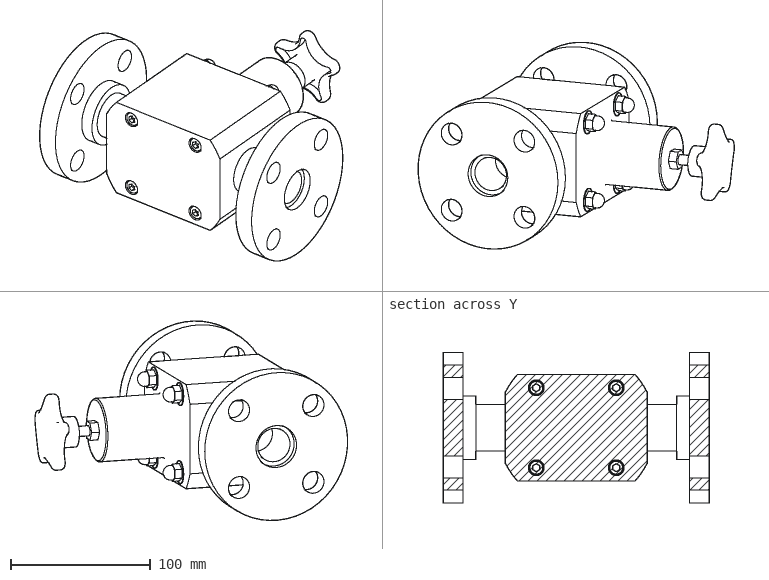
import cadquery as cq
import math


FACE_TO_FACE = 190.5
FLANGE_DIA = 107.95
FLANGE_THICKNESS = 14.3
FLANGE_HOLE_DIA = 15.88
FLANGE_BOLT_CIRCLE_DIA = 79.375
COLLAR_DIA = 45.72
COLLAR_LENGTH = 9.2
PIPE_DIA = 33.4
SOCKET_DIA = 30.61
SOCKET_DEPTH = 5.3
BORE_DIA = 24.31

BODY_WIDTH = 101.6
BODY_HEIGHT = 76.2
BODY_FRONT_Y = -33.0
BODY_BACK_Y = 50.1
BODY_CORNER_DIA = 113.6

BOLT_SPACING = 57.15
COUNTERBORE_DIA = 11.0
COUNTERBORE_DEPTH = 6.5
HEAD_DIA = 9.53
HEAD_TOP_DIA = 8.2
HEAD_RECESS = 0.3
KEY_ACROSS_FLATS = 4.76
KEY_DEPTH = 3.0
KEY_CONE_DEPTH = 1.3
WASHER_DIA = 16.6
WASHER_THICKNESS = 0.5
NUT_ACROSS_FLATS = 11.11
NUT_THICKNESS = 5.3
CAP_DIA = 10.6
CAP_STRAIGHT_LENGTH = 1.4

HOUSING_DIA = 45.72
HOUSING_END_Y = 103.65
HOUSING_CHAMFER = 1.0
HOUSING_FOOT_RADIUS = 5.5
STEM_DIA = 7.44
STEM_NUT_ACROSS_FLATS = 12.7
STEM_NUT_THICKNESS = 6.05

WHEEL_TOP_Y = 144.83
WHEEL_RIM_Y = 132.45
HUB_DIA = 22.1
HUB_END_Y = 120.1
HUB_FOOT_RADIUS = 3.8
LOBE_COUNT = 5
LOBE_RADIUS = 5.3
LOBE_CENTRE_RADIUS = 23.3
VALLEY_DEPTH_RADIUS = 18.2
CROWN_DIA = 17.0
DOME_RADIUS = 92.0
DOME_EDGE_RADIUS = 2.5
RIM_EDGE_RADIUS = 3.5
WHEEL_WALL = 2.8
WHEEL_POCKET_DEPTH = 6.65


def plane_facing_back(y):
    """Sketch plane at the given Y with its normal along +Y and local axes X and -Z."""
    return cq.Workplane("XZ", origin=(0, y, 0)).transformed(rotate=(180, 0, 0))


def rod_along_y(diameter, y_start, y_end):
    return plane_facing_back(y_start).circle(diameter / 2).extrude(y_end - y_start)


def hexagon_across_flats(y, across_flats, vertex_turn=0):
    """Hexagon normal to Y, with a vertex on X unless turned by vertex_turn degrees."""
    corner_dia = across_flats / math.cos(math.pi / 6)
    return plane_facing_back(y).transformed(rotate=(0, 0, vertex_turn)).polygon(6, corner_dia)


def pipe_end():
    """Pipe stub, collar and drilled flange on the -X side."""
    face_x = -FACE_TO_FACE / 2
    outer = cq.Workplane("YZ", origin=(face_x, 0, 0))
    stub = outer.circle(PIPE_DIA / 2).extrude(FACE_TO_FACE / 2)
    collar = outer.circle(COLLAR_DIA / 2).extrude(FLANGE_THICKNESS + COLLAR_LENGTH)
    hole_pitch = FLANGE_BOLT_CIRCLE_DIA / math.sqrt(2)
    flange = (
        outer.circle(FLANGE_DIA / 2)
        .rect(hole_pitch, hole_pitch, forConstruction=True)
        .vertices()
        .circle(FLANGE_HOLE_DIA / 2)
        .extrude(FLANGE_THICKNESS)
    )
    return flange.union(collar).union(stub)


def pipe_passage():
    """Bore and end socket on the -X side, stopping at the body wall."""
    outer = cq.Workplane("YZ", origin=(-FACE_TO_FACE / 2, 0, 0))
    bore = outer.circle(BORE_DIA / 2).extrude((FACE_TO_FACE - BODY_WIDTH) / 2)
    return bore.union(outer.circle(SOCKET_DIA / 2).extrude(SOCKET_DEPTH))


def body():
    depth = BODY_BACK_Y - BODY_FRONT_Y
    block = plane_facing_back(BODY_FRONT_Y).rect(BODY_WIDTH, BODY_HEIGHT).extrude(depth)
    return block.intersect(rod_along_y(BODY_CORNER_DIA, BODY_FRONT_Y, BODY_BACK_Y))


def socket_head():
    """Cap-screw head seated in its counterbore, centred on the Y axis."""
    head_front_y = BODY_FRONT_Y + HEAD_RECESS
    seat_y = BODY_FRONT_Y + COUNTERBORE_DEPTH
    head = rod_along_y(HEAD_DIA, head_front_y, seat_y)
    head = head.faces("<Y").edges().fillet((HEAD_DIA - HEAD_TOP_DIA) / 2)
    key = hexagon_across_flats(head_front_y, KEY_ACROSS_FLATS, 90).extrude(KEY_DEPTH)
    key_corner_radius = KEY_ACROSS_FLATS / 2 / math.cos(math.pi / 6)
    key_floor_y = head_front_y + KEY_DEPTH
    cone = (
        cq.Workplane("XY")
        .moveTo(0, key_floor_y)
        .lineTo(key_corner_radius, key_floor_y)
        .lineTo(0, key_floor_y + KEY_CONE_DEPTH)
        .close()
        .revolve(360, (0, 0, 0), (0, 1, 0))
    )
    return head.cut(key).cut(cone.intersect(key.translate((0, KEY_DEPTH, 0))))


def cap_nut():
    """Washer, hexagon and domed cap on the back of the body, centred on the Y axis."""
    hex_start_y = BODY_BACK_Y + WASHER_THICKNESS
    hex_end_y = hex_start_y + NUT_THICKNESS
    washer = rod_along_y(WASHER_DIA, BODY_BACK_Y, hex_start_y)
    hexagon = hexagon_across_flats(hex_start_y, NUT_ACROSS_FLATS, 90).extrude(NUT_THICKNESS)
    dome_start_y = hex_end_y + CAP_STRAIGHT_LENGTH
    cap = rod_along_y(CAP_DIA, hex_end_y, dome_start_y)
    dome = cq.Workplane("XY", origin=(0, dome_start_y, 0)).sphere(CAP_DIA / 2)
    return washer.union(hexagon).union(cap).union(dome)


def actuator():
    """Housing with a flared foot, stem nut and stem."""
    housing = rod_along_y(HOUSING_DIA, BODY_BACK_Y, HOUSING_END_Y)
    housing = housing.faces(">Y").edges().chamfer(HOUSING_CHAMFER)
    housing_radius = HOUSING_DIA / 2
    foot = (
        cq.Workplane("XY")
        .moveTo(0, BODY_BACK_Y)
        .lineTo(housing_radius + HOUSING_FOOT_RADIUS, BODY_BACK_Y)
        .radiusArc((housing_radius, BODY_BACK_Y + HOUSING_FOOT_RADIUS), HOUSING_FOOT_RADIUS)
        .lineTo(0, BODY_BACK_Y + HOUSING_FOOT_RADIUS)
        .close()
        .revolve(360, (0, 0, 0), (0, 1, 0))
    )
    nut = hexagon_across_flats(HOUSING_END_Y, STEM_NUT_ACROSS_FLATS).extrude(STEM_NUT_THICKNESS)
    stem = rod_along_y(STEM_DIA, HOUSING_END_Y, HUB_END_Y)
    return housing.union(foot).union(nut).union(stem)


def polar(radius, angle):
    """Sketch point at an angle measured from the lobe that points along +Z."""
    return (radius * math.sin(angle), -radius * math.cos(angle))


def star_outline(y):
    """Five round lobes joined by tangent concave arcs, one lobe pointing along +Z."""
    half_pitch = math.pi / LOBE_COUNT
    clearance = LOBE_RADIUS - VALLEY_DEPTH_RADIUS
    valley_centre_radius = (LOBE_CENTRE_RADIUS**2 - clearance**2) / (
        2 * (clearance + LOBE_CENTRE_RADIUS * math.cos(half_pitch))
    )
    lobe_to_valley = valley_centre_radius + clearance
    share = LOBE_RADIUS / lobe_to_valley
    touch_across = share * valley_centre_radius * math.sin(half_pitch)
    touch_along = LOBE_CENTRE_RADIUS + share * (
        valley_centre_radius * math.cos(half_pitch) - LOBE_CENTRE_RADIUS
    )
    touch_radius = math.hypot(touch_across, touch_along)
    touch_angle = math.atan2(touch_across, touch_along)

    outline = plane_facing_back(y).moveTo(*polar(touch_radius, -touch_angle))
    for lobe in range(LOBE_COUNT):
        lobe_angle = lobe * 2 * half_pitch
        outline = outline.threePointArc(
            polar(LOBE_CENTRE_RADIUS + LOBE_RADIUS, lobe_angle),
            polar(touch_radius, lobe_angle + touch_angle),
        ).threePointArc(
            polar(VALLEY_DEPTH_RADIUS, lobe_angle + half_pitch),
            polar(touch_radius, lobe_angle + 2 * half_pitch - touch_angle),
        )
    return outline.close()


def handwheel():
    """Domed star wheel with a flat crown, hollow underneath, on a cylindrical hub."""
    dome_centre_y = WHEEL_TOP_Y - math.sqrt(DOME_RADIUS**2 - (CROWN_DIA / 2) ** 2)
    dome_apex_y = dome_centre_y + DOME_RADIUS
    dome = (
        cq.Workplane("XY")
        .moveTo(0, dome_centre_y)
        .lineTo(DOME_RADIUS, dome_centre_y)
        .radiusArc((0, dome_apex_y), -DOME_RADIUS)
        .close()
        .revolve(360, (0, 0, 0), (0, 1, 0))
    )
    wheel = star_outline(WHEEL_RIM_Y).extrude(dome_apex_y - WHEEL_RIM_Y).intersect(dome)
    wheel = wheel.faces("<Y").edges().fillet(RIM_EDGE_RADIUS)
    wheel = wheel.faces(">Y").edges().fillet(DOME_EDGE_RADIUS)
    wheel = wheel.cut(rod_along_y(CROWN_DIA, WHEEL_TOP_Y, dome_apex_y))
    pocket = star_outline(WHEEL_RIM_Y).offset2D(-WHEEL_WALL).extrude(WHEEL_POCKET_DEPTH)
    pocket_floor_y = WHEEL_RIM_Y + WHEEL_POCKET_DEPTH
    foot_start_y = pocket_floor_y - HUB_FOOT_RADIUS
    hub_radius = HUB_DIA / 2
    hub = (
        cq.Workplane("XY")
        .moveTo(0, HUB_END_Y)
        .lineTo(hub_radius, HUB_END_Y)
        .lineTo(hub_radius, foot_start_y)
        .radiusArc((hub_radius + HUB_FOOT_RADIUS, pocket_floor_y), HUB_FOOT_RADIUS)
        .lineTo(0, pocket_floor_y)
        .close()
        .revolve(360, (0, 0, 0), (0, 1, 0))
    )
    return wheel.cut(pocket).union(hub)


valve = body().union(actuator()).union(handwheel())

left_end = pipe_end()
left_passage = pipe_passage()
valve = valve.union(left_end).union(left_end.mirror("YZ"))
valve = valve.cut(left_passage).cut(left_passage.mirror("YZ"))

counterbore = rod_along_y(COUNTERBORE_DIA, BODY_FRONT_Y, BODY_FRONT_Y + COUNTERBORE_DEPTH)
for side in (-1, 1):
    for level in (-1, 1):
        position = (side * BOLT_SPACING / 2, 0, level * BOLT_SPACING / 2)
        valve = valve.cut(counterbore.translate(position))
        valve = valve.union(socket_head().translate(position))
        valve = valve.union(cap_nut().translate(position))

result = valve